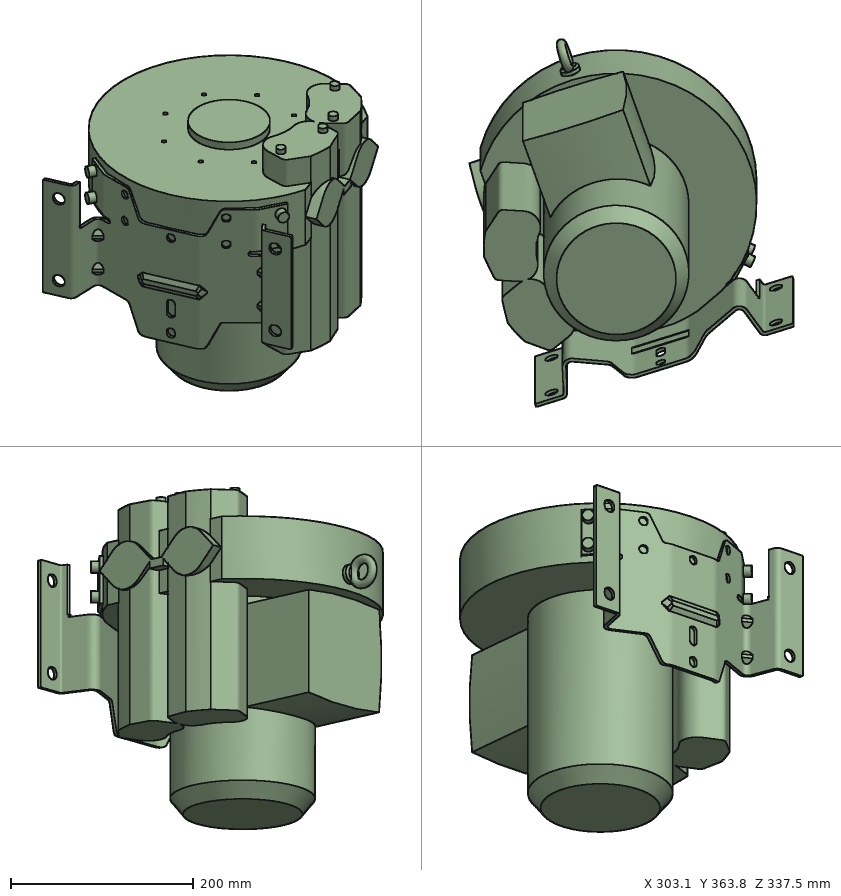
import cadquery as cq
import math


HOUSING_R = 154.0
HOUSING_H = 71.0
HOUSING_FLAT_X = 128.8
HUB_R = 45.0
HUB_H = 9.4
COVER_HOLE_COUNT = 8
COVER_HOLE_D = 5.0
COVER_HOLE_PITCH_R = 76.4
COVER_HOLE_DEPTH = 10.0

MOTOR_R = 79.6
MOTOR_BOTTOM_Z = -226.49
MOTOR_CONE_H = 17.5
MOTOR_CONE_R = 65.5

SILENCER_TOP_Z = 105.0
SILENCER_BOTTOM_Z = -145.0
SILENCER_ANGLE = 22.2
SILENCER_HALF_W = 41.5
SILENCER_NOSE_R = 145.4
SILENCER_NOSE_HALF_ANGLE = 5.8
SILENCER_CORNER_U = 130.5
SILENCER_LOBE_R = 20.0
SILENCER_LOBE_U = 104.8
SILENCER_LOBE_END_ANGLE = 190.0
SILENCER_WAIST_U = 88.0
SILENCER_CORNER_R = 7.0
SILENCER_BOLT_PITCH_R = 119.6
SILENCER_BOLT_ANGLE = 15.5
SILENCER_BOLT_D = 10.6
SILENCER_BOLT_H = 6.0

FLANGE_X = 142.0
FLANGE_Y = 45.6
FLANGE_Z = 36.0
FLANGE_R = 27.0
FLANGE_BAR_HALF_Y = 10.0
FLANGE_BAR_H = 10.0

BOX_LEFT_X = -57.8
BOX_RIGHT_X = 58.0
BOX_BACK_Y = 149.2
BOX_Z = -67.8
BOX_HALF_H = 58.2
BOX_BULGE = 3.8

EYE_Y = 176.84
EYE_Z = 17.6
EYE_RING_R = 14.1
EYE_WIRE_R = 4.9
EYE_COLLAR_R = 10.8
EYE_COLLAR_Y = 157.0
EYE_COLLAR_H = 7.0
EYE_COLLAR_CHAMFER = 2.5
EYE_SHANK_R = 3.7

SHEET_T = 4.0
BRACKET_TOP_Z = 62.0
BRACKET_H = 144.8
BRACKET_BOTTOM_Z = BRACKET_TOP_Z - BRACKET_H
TAB_DROP = 34.0
TAB_HALF_W = 39.8
TAB_SHOULDER_HALF_W = 55.4
TAB_CORNER_R = 6.0
PLATE_FRONT_Y = -157.3
PLATE_BEND_X = 31.7
PLATE_ANGLE = 23.7
PLATE_BEND_R = 15.0
EAR_BEND_X = 90.9
EAR_ANGLE = 45.0
EAR_LENGTH = 35.3
EAR_BEND_R = 12.0
HOOK_X = 96.8
HOOK_R = 8.5
FOOT_WALL_ANGLE = -74.0
FOOT_FRONT_Y = -168.0
FOOT_HALF_SPAN = 149.05
FOOT_BEND_R = 5.0
FOOT_CORNER_R = 2.0
FOOT_UPPER_Y = -156.3
SLIT_X = 83.0
SLIT_Z = 5.4
SLIT_W = 6.0

BRACKET_HOLE_D = 10.0
BRACKET_HOLE_Z = 17.6
BRACKET_HOLE_PITCH = 33.8
SIDE_HOLE_X = 60.0
SLOT_Z = -73.0
SLOT_LENGTH = 22.5
OVAL_Z = -104.3
OVAL_LENGTH = 12.0
FOOT_HOLE_X = 129.8
FOOT_HOLE_D = 14.3
FOOT_HOLE_Z = (41.9, -63.3)
EAR_BOLT_D = 13.0
EAR_BOLT_END_R = 166.8
BEAD_Z = -44.0
BEAD_HALF_H = 9.0
BEAD_HALF_L = 34.0
BEAD_TIP_X = 42.5
BEAD_DEPTH = 3.2
BEAD_RIDGE_HALF_L = 33.5
BEAD_ROOT_DEPTH = 4.8
BEAD_RIDGE_HALF_H = 3.0
GUSSET_Z = (-18.5, -61.6)
GUSSET_HALF_H = 10.5
GUSSET_RIDGE_HALF_H = 2.0
GUSSET_HALF_L = 9.0
GUSSET_RIDGE_R = 2.5


def cylinder_z(radius, bottom, top):
    return cq.Workplane("XY").workplane(offset=bottom).circle(radius).extrude(top - bottom)


def polar(radius, angle):
    """Point at a radius and an angle in degrees."""
    a = math.radians(angle)
    return (radius * math.cos(a), radius * math.sin(a))


def shifted(point, move):
    return (point[0] + move[0], point[1] + move[1])


def mirrored_pair(body):
    """The body joined with its mirror image across X = 0."""
    return body.union(body.mirror("YZ"))


def make_housing():
    body = cylinder_z(HOUSING_R, 0, HOUSING_H)
    beyond_flat = cq.Workplane("XY").box(HOUSING_R, 2 * HOUSING_R, HOUSING_H, centered=(False, True, False))
    body = body.cut(beyond_flat.translate((HOUSING_FLAT_X, 0, 0)))
    body = body.union(cylinder_z(HUB_R, HOUSING_H, HOUSING_H + HUB_H))
    holes = (
        cq.Workplane("XY")
        .workplane(offset=HOUSING_H - COVER_HOLE_DEPTH)
        .polarArray(COVER_HOLE_PITCH_R, 0, 360, COVER_HOLE_COUNT)
        .circle(COVER_HOLE_D / 2)
        .extrude(COVER_HOLE_DEPTH)
    )
    return body.cut(holes)


def make_motor():
    outline = [
        (0, 0),
        (MOTOR_R, 0),
        (MOTOR_R, MOTOR_BOTTOM_Z + MOTOR_CONE_H),
        (MOTOR_CONE_R, MOTOR_BOTTOM_Z),
        (0, MOTOR_BOTTOM_Z),
    ]
    return cq.Workplane("XZ").polyline(outline).close().revolve(360, (0, 0, 0), (0, 1, 0))


def make_silencer():
    """One silencer, lying along the +X direction before it is turned into place."""
    nose_end = polar(SILENCER_NOSE_R, SILENCER_NOSE_HALF_ANGLE)
    nose_start = (nose_end[0], -nose_end[1])
    lobe = (SILENCER_LOBE_U, SILENCER_HALF_W - SILENCER_LOBE_R)
    lobe_mid = shifted(lobe, polar(SILENCER_LOBE_R, (90 + SILENCER_LOBE_END_ANGLE) / 2))
    lobe_end = shifted(lobe, polar(SILENCER_LOBE_R, SILENCER_LOBE_END_ANGLE))
    body = (
        cq.Workplane("XY")
        .workplane(offset=SILENCER_BOTTOM_Z)
        .moveTo(*nose_start)
        .threePointArc((SILENCER_NOSE_R, 0), nose_end)
        .lineTo(SILENCER_CORNER_U, SILENCER_HALF_W)
        .lineTo(SILENCER_LOBE_U, SILENCER_HALF_W)
        .threePointArc(lobe_mid, lobe_end)
        .threePointArc((SILENCER_WAIST_U, 0), (lobe_end[0], -lobe_end[1]))
        .threePointArc((lobe_mid[0], -lobe_mid[1]), (SILENCER_LOBE_U, -SILENCER_HALF_W))
        .lineTo(SILENCER_CORNER_U, -SILENCER_HALF_W)
        .close()
        .extrude(SILENCER_TOP_Z - SILENCER_BOTTOM_Z)
    )
    for side in (1, -1):
        corner = cq.selectors.NearestToPointSelector((SILENCER_CORNER_U, side * SILENCER_HALF_W, 0))
        body = body.edges("|Z").edges(corner).fillet(SILENCER_CORNER_R)
    for side in (1, -1):
        bolt = cylinder_z(SILENCER_BOLT_D / 2, SILENCER_TOP_Z, SILENCER_TOP_Z + SILENCER_BOLT_H)
        place = polar(SILENCER_BOLT_PITCH_R, side * SILENCER_BOLT_ANGLE)
        body = body.union(bolt.translate((*place, 0)))
    return body


def make_silencers():
    silencer = make_silencer()
    upper = silencer.rotate((0, 0, 0), (0, 0, 1), SILENCER_ANGLE)
    lower = silencer.rotate((0, 0, 0), (0, 0, 1), -SILENCER_ANGLE)
    return upper.union(lower)


def make_port_flanges():
    depth = FLANGE_X - HOUSING_FLAT_X
    bar = cq.Workplane("XY").box(depth, 2 * FLANGE_BAR_HALF_Y, FLANGE_BAR_H, centered=(False, True, False))
    flanges = bar.translate((HOUSING_FLAT_X, 0, FLANGE_Z - FLANGE_BAR_H))
    side = cq.Workplane("YZ").workplane(offset=HOUSING_FLAT_X)
    square = side.rect(2 * FLANGE_R, 2 * FLANGE_R).extrude(depth)
    square = square.rotate((0, 0, 0), (1, 0, 0), 45)
    diamond = square.edges("|X").edges(">Z or <Z").fillet(FLANGE_R)
    for y in (FLANGE_Y, -FLANGE_Y):
        flanges = flanges.union(diamond.translate((0, y, FLANGE_Z)))
    return flanges


def make_terminal_box():
    """Box against the motor; its left, top and bottom faces are slightly bulged."""
    mid_x = (BOX_LEFT_X + BOX_RIGHT_X) / 2
    low = BOX_Z - BOX_HALF_H
    high = BOX_Z + BOX_HALF_H
    return (
        cq.Workplane("XZ")
        .moveTo(BOX_RIGHT_X, low)
        .lineTo(BOX_RIGHT_X, high)
        .threePointArc((mid_x, high + BOX_BULGE), (BOX_LEFT_X, high))
        .threePointArc((BOX_LEFT_X - BOX_BULGE, BOX_Z), (BOX_LEFT_X, low))
        .threePointArc((mid_x, low - BOX_BULGE), (BOX_RIGHT_X, low))
        .close()
        .extrude(-BOX_BACK_Y)
    )


def make_lifting_eye():
    centre = cq.Vector(0, EYE_Y, EYE_Z)
    ring = cq.Workplane(cq.Solid.makeTorus(EYE_RING_R, EYE_WIRE_R, centre, cq.Vector(1, 0, 0)))
    base = cq.Workplane("XZ", origin=(0, EYE_COLLAR_Y, EYE_Z))
    collar = base.circle(EYE_COLLAR_R).extrude(-EYE_COLLAR_H).faces(">Y").chamfer(EYE_COLLAR_CHAMFER)
    shank = base.circle(EYE_SHANK_R).extrude(EYE_COLLAR_Y - HOUSING_R + EYE_SHANK_R)
    return ring.union(collar).union(shank)


def bent_strip(path, radii, bottom, top):
    """Sheet of constant thickness standing along Z, bent along a centre-line path.

    radii gives the centre-line bend radius at every inner point of the path.
    """
    half = SHEET_T / 2
    start_angle = math.atan2(path[1][1] - path[0][1], path[1][0] - path[0][0])
    left = [(shifted(path[0], polar(half, math.degrees(start_angle) + 90)), None)]
    right = [(shifted(path[0], polar(half, math.degrees(start_angle) - 90)), None)]
    angle = start_angle
    for before, after, radius in zip(path[1:], path[2:], radii):
        next_angle = math.atan2(after[1] - before[1], after[0] - before[0])
        turn = next_angle - angle
        sign = math.copysign(1, turn)
        bisector = math.degrees((angle + next_angle) / 2) + 90 * sign
        centre = shifted(before, polar(radius / math.cos(turn / 2), bisector))
        for side, points in ((1, left), (-1, right)):
            side_r = radius - sign * side * half
            first, middle, last = (
                shifted(centre, polar(side_r, math.degrees(a) - 90 * sign))
                for a in (angle, (angle + next_angle) / 2, next_angle)
            )
            points.append((first, None))
            points.append((last, middle))
        angle = next_angle
    left.append((shifted(path[-1], polar(half, math.degrees(angle) + 90)), None))
    right.append((shifted(path[-1], polar(half, math.degrees(angle) - 90)), None))

    outline = cq.Workplane("XY").workplane(offset=bottom).moveTo(*left[0][0])
    for point, middle in left[1:]:
        outline = outline.threePointArc(middle, point) if middle else outline.lineTo(*point)
    outline = outline.lineTo(*right[-1][0])
    for index in range(len(right) - 1, 0, -1):
        middle = right[index][1]
        point = right[index - 1][0]
        outline = outline.threePointArc(middle, point) if middle else outline.lineTo(*point)
    return outline.close().extrude(top - bottom)


PLATE_Y = PLATE_FRONT_Y + SHEET_T / 2
PLATE_SLOPE = math.tan(math.radians(PLATE_ANGLE))


def plate_y(x):
    """Y of the sloping plate's centre line."""
    return PLATE_Y + (x - PLATE_BEND_X) * PLATE_SLOPE


EAR_BEND = (EAR_BEND_X, plate_y(EAR_BEND_X))
EAR_END = shifted(EAR_BEND, polar(EAR_LENGTH, EAR_ANGLE))

HOOK_CENTRE_Y = plate_y(HOOK_X) - HOOK_R / math.cos(math.radians(PLATE_ANGLE))
HOOK_CENTRE = (HOOK_X, HOOK_CENTRE_Y)
HOOK_BISECTOR = (PLATE_ANGLE + FOOT_WALL_ANGLE) / 2 + 90
HOOK_HALF_TURN = math.radians(PLATE_ANGLE - FOOT_WALL_ANGLE) / 2
HOOK_CORNER = shifted(HOOK_CENTRE, polar(HOOK_R / math.cos(HOOK_HALF_TURN), HOOK_BISECTOR))
FOOT_Y = FOOT_FRONT_Y + SHEET_T / 2
FOOT_CORNER_X = HOOK_CORNER[0] + (FOOT_Y - HOOK_CORNER[1]) / math.tan(math.radians(FOOT_WALL_ANGLE))


def plate_blank():
    """Front outline of the plate as a deep block: notch above, matching tab below, rounded corners."""
    tab_z = BRACKET_BOTTOM_Z - TAB_DROP
    right_half = [
        (TAB_HALF_W, tab_z),
        (TAB_SHOULDER_HALF_W, BRACKET_BOTTOM_Z),
        (HOUSING_R, BRACKET_BOTTOM_Z),
        (HOUSING_R, BRACKET_TOP_Z),
        (TAB_SHOULDER_HALF_W, BRACKET_TOP_Z),
        (TAB_HALF_W, BRACKET_TOP_Z - TAB_DROP),
    ]
    left_half = [(-x, z) for x, z in reversed(right_half)]
    block = cq.Workplane("XZ").polyline(right_half + left_half).close().extrude(-FOOT_FRONT_Y)
    tab_corners = cq.selectors.BoxSelector(
        (-EAR_BEND_X, FOOT_FRONT_Y, tab_z - TAB_DROP),
        (EAR_BEND_X, 0, BRACKET_TOP_Z + TAB_DROP),
    )
    return block.edges("|Y").edges(tab_corners).fillet(TAB_CORNER_R)


def make_plate():
    """Centre plate with its two sloping sides, ears above the slits and the lower tab."""
    right_half = [(PLATE_BEND_X, PLATE_Y), EAR_BEND, EAR_END]
    path = [(-x, y) for x, y in reversed(right_half)] + right_half
    radii = [EAR_BEND_R, PLATE_BEND_R, PLATE_BEND_R, EAR_BEND_R]
    plate = bent_strip(path, radii, BRACKET_BOTTOM_Z - TAB_DROP, BRACKET_TOP_Z).intersect(plate_blank())
    gap_h = SLIT_Z - BRACKET_BOTTOM_Z
    ear_gap = cq.Workplane("XY").box(HOUSING_R, 2 * HOUSING_R, gap_h, centered=(False, True, False))
    ear_gap = ear_gap.translate((SLIT_X + SLIT_W / 2, 0, BRACKET_BOTTOM_Z))
    return plate.cut(mirrored_pair(ear_gap))


def make_foot():
    """Right-hand foot: hook bend, wall and flat mounting strip."""
    path = [(SLIT_X, plate_y(SLIT_X)), HOOK_CORNER, (FOOT_CORNER_X, FOOT_Y), (FOOT_HALF_SPAN, FOOT_Y)]
    foot = bent_strip(path, [HOOK_R, FOOT_BEND_R], BRACKET_BOTTOM_Z, BRACKET_TOP_Z)
    foot = foot.edges("|Y").edges(">X").fillet(FOOT_CORNER_R)
    upper = cq.Workplane("XY").box(FOOT_HALF_SPAN, -FOOT_UPPER_Y, BRACKET_TOP_Z - SLIT_Z, centered=False)
    foot = foot.cut(upper.translate((0, FOOT_UPPER_Y, SLIT_Z)))
    for hole_z in FOOT_HOLE_Z:
        hole = cq.Workplane("XZ").center(FOOT_HOLE_X, hole_z).circle(FOOT_HOLE_D / 2)
        hole = hole.extrude(-FOOT_FRONT_Y)
        foot = foot.cut(hole)
    for rib_z in GUSSET_Z:
        foot = foot.union(make_gusset(rib_z))
    return foot


def make_gusset(rib_z):
    """Pressed rib across the hollow of the hook bend, narrowing to a flat ridge."""
    ridge = shifted(HOOK_CENTRE, polar(GUSSET_RIDGE_R, HOOK_BISECTOR))
    depth = HOOK_R - GUSSET_RIDGE_R
    plane = cq.Plane(
        origin=(*ridge, rib_z),
        xDir=(*polar(1, HOOK_BISECTOR), 0),
        normal=(*polar(1, HOOK_BISECTOR - 90), 0),
    )
    section = [
        (0, -GUSSET_RIDGE_HALF_H),
        (depth, -GUSSET_HALF_H),
        (depth, GUSSET_HALF_H),
        (0, GUSSET_RIDGE_HALF_H),
    ]
    bar = cq.Workplane(plane).polyline(section).close().extrude(GUSSET_HALF_L, both=True)
    hollow = cq.Workplane("XY").workplane(offset=BRACKET_BOTTOM_Z).center(*HOOK_CENTRE).circle(HOOK_R)
    return bar.intersect(hollow.extrude(BRACKET_H))


def make_slit():
    """Slit that parts the ear from the foot, with a round inner end."""
    length = FOOT_CORNER_X - SLIT_X
    slit = cq.Workplane("XZ").center(SLIT_X + SLIT_W / 2 + length / 2, SLIT_Z).rect(length, SLIT_W)
    end = cq.Workplane("XZ").center(SLIT_X + SLIT_W / 2, SLIT_Z).circle(SLIT_W / 2)
    return slit.extrude(-PLATE_Y).union(end.extrude(-PLATE_Y))


def make_bead():
    """Raised horizontal bead with pointed ends across the centre plate."""
    outline = [
        (-BEAD_TIP_X, 0),
        (-BEAD_HALF_L, BEAD_HALF_H),
        (BEAD_HALF_L, BEAD_HALF_H),
        (BEAD_TIP_X, 0),
        (BEAD_HALF_L, -BEAD_HALF_H),
        (-BEAD_HALF_L, -BEAD_HALF_H),
    ]
    taper = math.degrees(math.atan2(BEAD_HALF_H - BEAD_RIDGE_HALF_H, BEAD_DEPTH))
    front = cq.Workplane("XZ", origin=(0, PLATE_FRONT_Y, BEAD_Z))
    ridge = front.polyline(outline).close().extrude(BEAD_DEPTH, taper=taper)
    root = front.polyline(outline).close().extrude(-BEAD_ROOT_DEPTH)
    side_slopes = [
        (-BEAD_RIDGE_HALF_L, PLATE_FRONT_Y - BEAD_DEPTH),
        (BEAD_RIDGE_HALF_L, PLATE_FRONT_Y - BEAD_DEPTH),
        (BEAD_TIP_X, PLATE_FRONT_Y + BEAD_ROOT_DEPTH),
        (-BEAD_TIP_X, PLATE_FRONT_Y + BEAD_ROOT_DEPTH),
    ]
    low = cq.Workplane("XY").workplane(offset=BEAD_Z - BEAD_HALF_H)
    return ridge.union(root).intersect(low.polyline(side_slopes).close().extrude(2 * BEAD_HALF_H))


def make_plate_holes():
    """Holes through the centre plate and its sloping sides."""
    front = cq.Workplane("XZ")
    reach = -FOOT_FRONT_Y
    upper_z = BRACKET_HOLE_Z + BRACKET_HOLE_PITCH
    holes = front.center(0, BRACKET_HOLE_Z).circle(BRACKET_HOLE_D / 2).extrude(reach)
    holes = holes.union(front.center(0, SLOT_Z).slot2D(SLOT_LENGTH, BRACKET_HOLE_D, 90).extrude(reach))
    holes = holes.union(front.center(0, OVAL_Z).slot2D(OVAL_LENGTH, BRACKET_HOLE_D, 90).extrude(reach))
    middle = cq.Vector(SIDE_HOLE_X, plate_y(SIDE_HOLE_X), 0)
    outward = cq.Vector(*polar(1, PLATE_ANGLE - 90), 0)
    for z in (BRACKET_HOLE_Z, upper_z):
        start = middle + cq.Vector(0, 0, z) - outward * SHEET_T
        drill = cq.Workplane(cq.Solid.makeCylinder(BRACKET_HOLE_D / 2, 2 * SHEET_T, start, outward))
        holes = holes.union(mirrored_pair(drill))
    return holes


def make_ear_bolts():
    """Bolt heads on the right-hand ear, pointing at the housing axis."""
    outward = cq.Vector(*polar(1, EAR_ANGLE - 90), 0)
    start_r = HOUSING_R - SHEET_T
    bolts = cq.Workplane("XY")
    for z in (BRACKET_HOLE_Z, BRACKET_HOLE_Z + BRACKET_HOLE_PITCH):
        start = outward * start_r + cq.Vector(0, 0, z)
        bolts = bolts.add(cq.Solid.makeCylinder(EAR_BOLT_D / 2, EAR_BOLT_END_R - start_r, start, outward))
    return bolts.combine()


def make_bracket():
    bracket = make_plate().cut(mirrored_pair(make_slit()))
    bracket = bracket.union(mirrored_pair(make_foot().cut(make_slit())))
    return bracket.union(make_bead()).cut(make_plate_holes())


result = make_housing()
for piece in (
    make_motor(),
    make_silencers(),
    make_port_flanges(),
    make_terminal_box(),
    make_lifting_eye(),
    make_bracket(),
    mirrored_pair(make_ear_bolts()),
):
    result = result.union(piece)